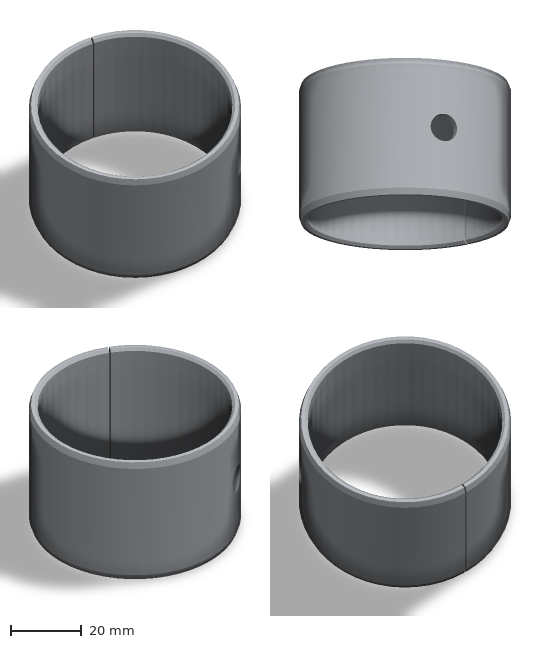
import cadquery as cq
import math

outer_diameter = 60.0
wall_thickness = 2.5
length = 40.0
outer_chamfer_length = 1.8
outer_chamfer_angle = 20.0
inner_chamfer = 0.8
split_angle = 1.0
oil_hole_diameter = 8.0
oil_hole_from_split = 120.0

outer_radius = outer_diameter / 2
inner_radius = outer_radius - wall_thickness
half_length = length / 2
outer_chamfer_depth = outer_chamfer_length * math.tan(math.radians(outer_chamfer_angle))
split_face_angle = 180.0 - split_angle
oil_hole_angle = split_face_angle - oil_hole_from_split


def make_split_sleeve():
    """Sweep the chamfered wall section around Z from -X, stopping short to leave the gap."""
    outer_end_radius = outer_radius - outer_chamfer_depth
    inner_end_radius = inner_radius + inner_chamfer
    outer_edge_height = half_length - outer_chamfer_length
    inner_edge_height = half_length - inner_chamfer
    wall_section = [
        (-inner_radius, -inner_edge_height),
        (-inner_end_radius, -half_length),
        (-outer_end_radius, -half_length),
        (-outer_radius, -outer_edge_height),
        (-outer_radius, outer_edge_height),
        (-outer_end_radius, half_length),
        (-inner_end_radius, half_length),
        (-inner_radius, inner_edge_height),
    ]
    sweep_angle = 360.0 - split_angle
    return cq.Workplane("XZ").polyline(wall_section).close().revolve(sweep_angle, (0, 0), (0, 1))


def make_oil_hole():
    """Radial cylinder from the axis out through one wall, at mid length."""
    hole = cq.Workplane("YZ").circle(oil_hole_diameter / 2).extrude(outer_diameter)
    return hole.rotate((0, 0, 0), (0, 0, 1), oil_hole_angle)


result = make_split_sleeve().cut(make_oil_hole())